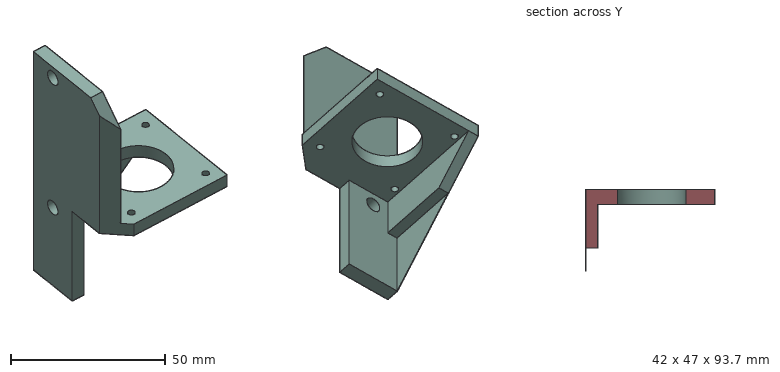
import cadquery as cq

width = 42.0
depth = 47.0
height = 93.7

plate_thickness = 5.0
plate_width = 39.0
stem_width = 20.1
stem_bottom = 0.3
top_cut_width = 9.4
top_cut_height = 9.9
mount_hole_diameter = 5.3
mount_hole_x = stem_width / 2
mount_hole_heights = (33.65, 89.1)

shelf_thickness = 5.0
shelf_bottom = 38.6
shelf_top = shelf_bottom + shelf_thickness
motor_x = 21.5
motor_y = 26.5
bore_diameter = 23.0
screw_spacing = 31.0
screw_diameter = 2.4

bevel_width = 7.9
bevel_depth = 8.0

rib_thickness = 4.0
rib_toe_y = 4.8
rib_relief_top = 24.5
skin_thickness = 0.2


def upright_plate():
    """Upright with a narrow stem and a sloped upper corner."""
    outline = [
        (0, stem_bottom),
        (stem_width, stem_bottom),
        (stem_width, shelf_bottom),
        (plate_width, shelf_bottom),
        (plate_width, height - top_cut_height),
        (plate_width - top_cut_width, height),
        (0, height),
    ]
    plate = cq.Workplane("XZ").polyline(outline).close().extrude(-plate_thickness)
    holes = (
        cq.Workplane("XZ")
        .pushPoints([(mount_hole_x, z) for z in mount_hole_heights])
        .circle(mount_hole_diameter / 2)
        .extrude(-plate_thickness)
    )
    return plate.cut(holes)


def motor_shelf():
    """Horizontal shelf with a motor bore and four screw holes."""
    shelf = cq.Workplane("XY", origin=(0, 0, shelf_bottom)).rect(width, depth, centered=False)
    shelf = shelf.extrude(shelf_thickness)
    openings = cq.Workplane("XY", origin=(motor_x, motor_y, shelf_bottom))
    bore = openings.circle(bore_diameter / 2).extrude(shelf_thickness)
    screws = (
        openings.rect(screw_spacing, screw_spacing, forConstruction=True)
        .vertices()
        .circle(screw_diameter / 2)
        .extrude(shelf_thickness)
    )
    return shelf.cut(bore).cut(screws)


def side_rib():
    """Rib under the shelf that thins to a skin at the foot of the upright."""
    outline = [
        (0, stem_bottom),
        (rib_toe_y, stem_bottom),
        (rib_toe_y, 0),
        (depth, shelf_bottom),
        (depth, shelf_top),
        (0, shelf_top),
    ]
    rib = cq.Workplane("YZ").polyline(outline).close().extrude(rib_thickness)
    relief = cq.Workplane("XY").box(
        rib_thickness - skin_thickness,
        depth - plate_thickness,
        rib_relief_top,
        centered=False,
    )
    rib = rib.cut(relief.translate((skin_thickness, plate_thickness, 0)))
    foot_trim = cq.Workplane("XY").box(rib_thickness, plate_thickness, stem_bottom, centered=False)
    return rib.cut(foot_trim.translate((skin_thickness, 0, 0)))


def corner_bevel():
    """Full-height wedge removed from the front right corner."""
    outline = [(width - bevel_width, 0), (width, 0), (width, bevel_depth)]
    return cq.Workplane("XY").polyline(outline).close().extrude(height)


result = upright_plate().union(motor_shelf()).union(side_rib()).cut(corner_bevel())